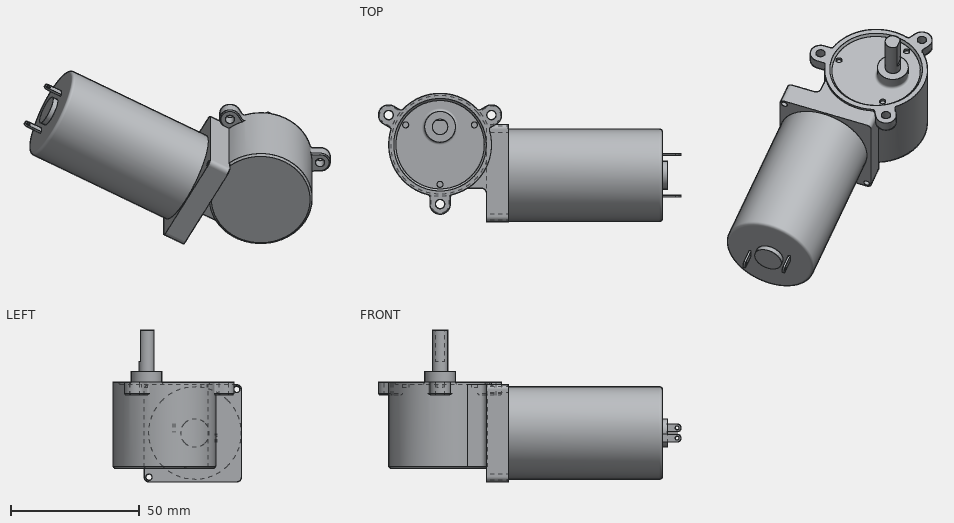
import cadquery as cq
import math

housing_radius = 20.0
housing_height = 33.6
housing_chamfer = 0.8
recess_rim_radius = 18.0
recess_floor_radius = 17.2
recess_depth = 0.9

lug_angles = (30, 150, 270)
lug_pitch_radius = 23.0
lug_radius = 4.0
lug_thickness = 4.9
lug_chamfer = 0.5
lug_root_fillet = 1.0
lug_embed = 0.02
lug_root_depth = 2.4
lug_hole_diameter = 3.5
screw_pitch_radius = 15.4
screw_hole_diameter = 2.4
screw_hole_depth = 1.2

shaft_y = 6.9
shaft_radius = 3.0
shaft_top = 20.2
shaft_flat_start = 8.1
shaft_flat_depth = 0.6
collar_radius = 6.0
collar_top = 4.2
collar_root_fillet = 1.0

flange_size = 37.9
flange_front = 18.0
flange_back = 26.6
flange_min_y = -30.0
flange_top = -0.9
flange_corner_radius = 2.0
flange_hole_diameter = 2.4
flange_hole_inset = 1.9
neck_min_y = -16.9
neck_fillet = 2.0

motor_y = -11.9
motor_z = -19.8
motor_radius = 18.0
motor_length = 59.9
motor_fillet = 1.2
hub_radius = 5.5
hub_length = 2.0
terminal_width = 3.0
terminal_thickness = 0.8
terminal_offset_y = 8.1
terminal_offset_z = 2.0
terminal_hole_diameter = 1.4

part_min_x = -lug_pitch_radius * math.cos(math.radians(30)) - lug_radius
terminal_end = part_min_x + 117.6
motor_back = flange_back + motor_length
flange_max_y = flange_min_y + flange_size
flange_bottom = flange_top - flange_size


def disc(x, y, bottom, top, radius):
    """Vertical cylinder between two heights."""
    return cq.Workplane("XY", origin=(x, y, bottom)).circle(radius).extrude(top - bottom)


def rod(y, z, start, end, radius):
    """Cylinder along X between two stations."""
    return cq.Workplane("YZ", origin=(start, y, z)).circle(radius).extrude(end - start)


def box(x_range, y_range, z_range):
    """Box given by its lower and upper limits on each axis."""
    lows, highs = zip(x_range, y_range, z_range)
    sizes = [high - low for low, high in zip(lows, highs)]
    return cq.Workplane("XY").box(*sizes, centered=False).translate(lows)


def polar(radius, angle):
    """Point on a circle about the housing axis."""
    return radius * math.cos(math.radians(angle)), radius * math.sin(math.radians(angle))


def make_ear():
    """Ear along +X, flared at its root to run tangentially into the drum."""
    blend_centre_y = lug_radius + lug_root_fillet
    blend_centre_x = math.sqrt((housing_radius + lug_root_fillet) ** 2 - blend_centre_y**2)
    foot_scale = (housing_radius - lug_embed) / (housing_radius + lug_root_fillet)
    foot_x = blend_centre_x * foot_scale
    foot_y = blend_centre_y * foot_scale
    ear = (
        cq.Workplane("XY")
        .moveTo(foot_x - lug_root_depth, -foot_y)
        .lineTo(foot_x, -foot_y)
        .radiusArc((blend_centre_x, -lug_radius), lug_root_fillet)
        .lineTo(lug_pitch_radius, -lug_radius)
        .threePointArc((lug_pitch_radius + lug_radius, 0), (lug_pitch_radius, lug_radius))
        .lineTo(blend_centre_x, lug_radius)
        .radiusArc((foot_x, foot_y), lug_root_fillet)
        .lineTo(foot_x - lug_root_depth, foot_y)
        .close()
        .extrude(-lug_thickness)
    )
    return ear.faces("<Z").chamfer(lug_chamfer)


def make_housing():
    """Drum with a chamfered foot and three radial ears level with its top."""
    housing = disc(0, 0, -housing_height, 0, housing_radius)
    housing = housing.faces("<Z").chamfer(housing_chamfer)
    ear = make_ear()
    for angle in lug_angles:
        housing = housing.union(ear.rotate((0, 0, 0), (0, 0, 1), angle))
    return housing


def make_neck():
    """Block from the housing to the flange, with a rounded inside corner."""
    neck_max_y = flange_max_y - flange_corner_radius
    neck_profile = (
        cq.Workplane("XY", origin=(0, 0, -housing_height + housing_chamfer))
        .moveTo(0, neck_max_y)
        .lineTo(0, neck_min_y)
        .lineTo(flange_front - neck_fillet, neck_min_y)
        .radiusArc((flange_front, neck_min_y - neck_fillet), neck_fillet)
        .lineTo(flange_back, neck_min_y - neck_fillet)
        .lineTo(flange_back, neck_max_y)
        .close()
    )
    return neck_profile.extrude(flange_top + housing_height - housing_chamfer)


def make_flange():
    """Square plate with holes in one pair of opposite corners."""
    flange = box(
        (flange_front, flange_back), (flange_min_y, flange_max_y), (flange_bottom, flange_top)
    ).edges("|X").fillet(flange_corner_radius)
    hole_centres = (
        (flange_min_y + flange_hole_inset, flange_top - flange_hole_inset),
        (flange_max_y - flange_hole_inset, flange_bottom + flange_hole_inset),
    )
    for y, z in hole_centres:
        flange = flange.cut(rod(y, z, flange_front, flange_back, flange_hole_diameter / 2))
    return flange


def make_motor():
    can = rod(motor_y, motor_z, flange_back, motor_back, motor_radius)
    can = can.faces(">X").edges().fillet(motor_fillet)
    return can.union(rod(motor_y, motor_z, motor_back, motor_back + hub_length, hub_radius))


def make_terminal(side):
    """Flat tab with a round, pierced end; side is +1 toward +Y and +Z."""
    y = motor_y + side * terminal_offset_y
    z = motor_z + side * terminal_offset_z
    tip_radius = terminal_width / 2
    tip_x = terminal_end - tip_radius
    start_x = motor_back - motor_fillet
    tab = (
        cq.Workplane("XZ", origin=(0, y + terminal_thickness / 2, z))
        .moveTo(start_x, -tip_radius)
        .lineTo(tip_x, -tip_radius)
        .threePointArc((terminal_end, 0), (tip_x, tip_radius))
        .lineTo(start_x, tip_radius)
        .close()
        .extrude(terminal_thickness)
    )
    return tab.faces("<Y").workplane(origin=(tip_x, y, z)).hole(terminal_hole_diameter)


def make_shaft():
    """Output shaft with a shallow flat facing +Y, standing on its collar."""
    shaft = disc(0, shaft_y, -recess_depth, shaft_top, shaft_radius)
    flat_y = shaft_y + shaft_radius - shaft_flat_depth
    flat = box(
        (-shaft_radius, shaft_radius), (flat_y, shaft_y + shaft_radius), (shaft_flat_start, shaft_top)
    )
    fillet_top = collar_root_fillet - recess_depth
    foot_radius = collar_radius + collar_root_fillet
    collar = (
        cq.Workplane("XZ")
        .moveTo(0, -recess_depth)
        .lineTo(foot_radius, -recess_depth)
        .radiusArc((collar_radius, fillet_top), collar_root_fillet)
        .lineTo(collar_radius, collar_top)
        .lineTo(0, collar_top)
        .close()
        .revolve(360, (0, 0, 0), (0, 1, 0))
        .translate((0, shaft_y, 0))
    )
    return shaft.cut(flat).union(collar)


def cut_top_details(body):
    """Cover recess with a sloping wall, screw holes in its floor and lug holes."""
    recess = (
        cq.Workplane("XY", origin=(0, 0, -recess_depth))
        .circle(recess_floor_radius)
        .workplane(offset=recess_depth)
        .circle(recess_rim_radius)
        .loft()
    )
    body = body.cut(recess)
    for angle in lug_angles:
        screw_bottom = -recess_depth - screw_hole_depth
        screw_x, screw_y = polar(screw_pitch_radius, angle)
        body = body.cut(disc(screw_x, screw_y, screw_bottom, 0, screw_hole_diameter / 2))
        lug_x, lug_y = polar(lug_pitch_radius, angle)
        body = body.cut(disc(lug_x, lug_y, -lug_thickness, 0, lug_hole_diameter / 2))
    return body


result = cut_top_details(make_housing().union(make_neck()))
result = result.union(make_flange()).union(make_motor()).union(make_shaft())
for terminal_side in (-1, 1):
    result = result.union(make_terminal(terminal_side))